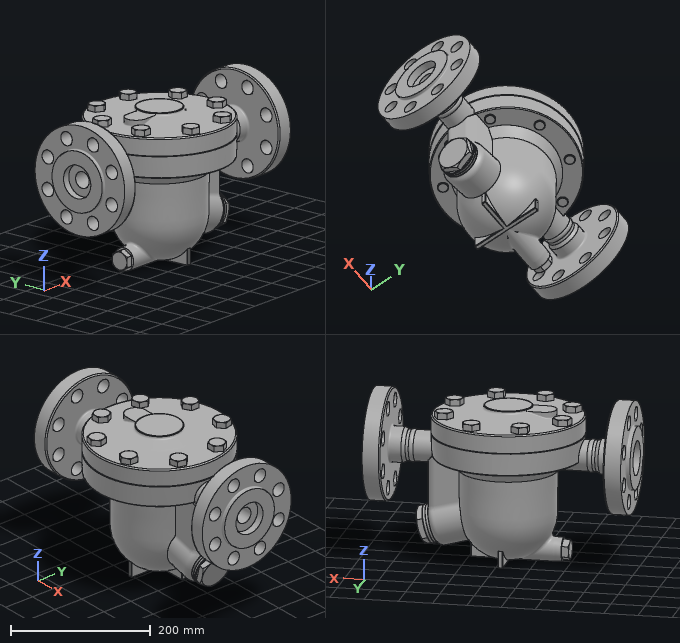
import cadquery as cq
import math


INLET_X = -187.5
OUTLET_X = 202.5
PIPE_R = 46 / 2
BORE_R = 25 / 2
SOCKET_R = 50 / 2
SOCKET_DEPTH = 12
RAISED_FACE_R = 92.1 / 2
RAISED_FACE_H = 6
RAISED_FACE_ROOT = 1.5
FLANGE_R = 165 / 2
FLANGE_T = 26
FLANGE_CHAMFER = 2
FLANGE_HOLE_COUNT = 8
FLANGE_HOLE_D = 21
FLANGE_HOLE_CIRCLE_R = 127 / 2
HUB_R = 52 / 2
HUB_ROOT = 3
HUB_END = 51
HUB_TAPER_END = 56.5
WELD_START = 61
WELD_END = 68
WELD_H = 1.2

COVER_R = 222 / 2
COVER_TOP_Z = 54.5
COVER_CHAMFER = 2
JOINT_Z = 27
JOINT_GAP = 0.8
JOINT_DEPTH = 1
BODY_FLANGE_BOTTOM_Z = -6.5
BODY_FLANGE_RIM_RX = 109.2
BODY_FLANGE_CHAMFER = 1.5
NECK_TOP_R = 80.5
NECK_BOTTOM_Z = -26.5
BODY_TOP_R = 71.5
BASE_Z = -160
DOME_R = 71
DOME_CENTRE_Z = BASE_Z + DOME_R
DOME_TOP_Z = -84

CROWN_TOP_Z = 68.5
CROWN_R = 70 / 2
CROWN_CHAMFER = 1
CROWN_ROOT_R = 38.2
CROWN_ROOT_Z = 62.7
HOLLOW = 0.3
CONE_FOOT_R = 56
CONE_FOOT_Z = 57
FLARE_R = 68
PAD_TOP_Z = 65
PAD_W = 34.5
PAD_END_X = -70.5
PAD_FILLET = 2

BOLT_COUNT = 8
BOLT_FLATS = 24
BOLT_HEAD_H = 9.5
BOLT_D = 16
BOLT_CIRCLE_R = 93.5
BOLT_TIP_Z = BODY_FLANGE_BOTTOM_Z - 2
BOLT_TIP_CHAMFER = 1

CHANNEL_END_X = 114.5
CHANNEL_W = 50
CHANNEL_CORNER_R = 13
CHANNEL_BOTTOM_Z = -98
CHANNEL_TOP_Z = BODY_FLANGE_BOTTOM_Z + 3
CHANNEL_CHAMFER_X = 12
CHANNEL_CHAMFER_Z = 14
CHANNEL_FILLET = 10

STRAINER_TILT = 15
STRAINER_TIP = (126.7, -118.1)
STRAINER_R = 70 / 2
STRAINER_LENGTH = 100
STRAINER_ROUND_START = 29
STRAINER_ROUND_END = 21
STRAINER_ROUND_R = 10
STRAINER_RIM_R = 31
STRAINER_FACE = 19
PLUG_COLLAR_START = 15
PLUG_COLLAR_R = 58 / 2
PLUG_COLLAR_CHAMFER = 1
PLUG_NECK_R = 28
PLUG_HEX_H = 10
PLUG_FLATS = 50
PLUG_FACE_D = 49.5

DRAIN_R = 36 / 2
DRAIN_Z = BASE_Z + DRAIN_R
DRAIN_END_X = -80.5
DRAIN_END_R = 17.4
DRAIN_TAPER_L = 11.5
DRAIN_FILLET = 4
DRAIN_FILLET_END_X = -15
DRAIN_FLATS = 27
DRAIN_HEX_H = 10.5
RIB_REACH = 54.5
RIB_T = 7
RIB_TOP_Z = -120
RIB_CHAMFER = 1

HEX_CHAMFER_ANGLE = 30
OVERLAP = 1
TOUCH = 1e-4


def touches(shape, point):
    """True when the point lies on a face of the shape."""
    vertex = cq.Vertex.makeVertex(*point.toTuple())
    return any(face.distance(vertex) < TOUCH for face in shape.faces().vals())


def any_edge(edge):
    """Accept every seam edge."""
    return True


def fuse_with_fillet(base, tool, radius, wanted):
    """Join two shapes and fillet the wanted edges of the seam where their surfaces meet."""
    joined = base.union(tool)
    seam = []
    for edge in joined.edges().vals():
        samples = [edge.positionAt(t) for t in (0.25, 0.5, 0.75)]
        on_both = all(touches(base, p) and touches(tool, p) for p in samples)
        if on_both and wanted(edge):
            seam.append(edge)
    return joined.newObject(seam).fillet(radius)


def hex_head(flats, height, face_d):
    """Hexagonal head standing on Z = 0, corners on X, with chamfered top corners."""
    corner_r = flats / math.sqrt(3)
    drop = (corner_r - face_d / 2) * math.tan(math.radians(HEX_CHAMFER_ANGLE))
    prism = cq.Workplane("XY").polygon(6, 2 * corner_r).extrude(height)
    envelope = (
        cq.Workplane("XZ")
        .polyline([(0, 0), (corner_r, 0), (corner_r, height - drop), (face_d / 2, height), (0, height)])
        .close()
        .revolve(360, (0, 0, 0), (0, 1, 0))
    )
    return prism.intersect(envelope)


def pipe_end():
    """Flange, hub and pipe reaching into the body, with the raised face at X = 0 and the pipe along +X."""
    flange_back = RAISED_FACE_H + FLANGE_T
    pipe_length = -INLET_X + OVERLAP
    root_sag = RAISED_FACE_ROOT * (1 - math.sqrt(0.5))
    hub_sag = HUB_ROOT * (1 - math.sqrt(0.5))
    profile = (
        cq.Workplane("XY")
        .lineTo(0, RAISED_FACE_R)
        .lineTo(RAISED_FACE_H - RAISED_FACE_ROOT, RAISED_FACE_R)
        .threePointArc(
            (RAISED_FACE_H - root_sag, RAISED_FACE_R + root_sag),
            (RAISED_FACE_H, RAISED_FACE_R + RAISED_FACE_ROOT),
        )
        .lineTo(RAISED_FACE_H, FLANGE_R)
        .lineTo(flange_back - FLANGE_CHAMFER, FLANGE_R)
        .lineTo(flange_back, FLANGE_R - FLANGE_CHAMFER)
        .lineTo(flange_back, HUB_R + HUB_ROOT)
        .threePointArc((flange_back + hub_sag, HUB_R + hub_sag), (flange_back + HUB_ROOT, HUB_R))
        .lineTo(HUB_END, HUB_R)
        .lineTo(HUB_TAPER_END, PIPE_R)
        .lineTo(WELD_START, PIPE_R)
        .threePointArc(((WELD_START + WELD_END) / 2, PIPE_R + WELD_H), (WELD_END, PIPE_R))
        .lineTo(pipe_length, PIPE_R)
        .lineTo(pipe_length, 0)
        .close()
    )
    holes = (
        cq.Workplane("YZ", origin=(RAISED_FACE_H, 0, 0))
        .polarArray(FLANGE_HOLE_CIRCLE_R, 180 / FLANGE_HOLE_COUNT, 360, FLANGE_HOLE_COUNT)
        .circle(FLANGE_HOLE_D / 2)
        .extrude(FLANGE_T)
    )
    return profile.revolve(360, (0, 0, 0), (1, 0, 0)).cut(holes)


def pipe_bore(face_x):
    """Socket and bore of one pipe end, reaching from the raised face to the body wall."""
    depth = abs(face_x) - BODY_TOP_R
    direction = -math.copysign(1, face_x)
    start = cq.Workplane("YZ", origin=(face_x, 0, 0))
    bore = start.circle(BORE_R).extrude(direction * depth)
    return start.circle(SOCKET_R).extrude(direction * SOCKET_DEPTH).union(bore)


def body_and_cover():
    """Revolved shape of the domed body, the bolted joint and the cover with its crown."""
    dome_top_r = math.sqrt(DOME_R**2 - (DOME_TOP_Z - DOME_CENTRE_Z) ** 2)
    dome_mid = DOME_R * math.sqrt(0.5)
    crown_edge_z = CROWN_TOP_Z - CROWN_CHAMFER
    crown_root_mid = (
        CROWN_R + HOLLOW * (CROWN_ROOT_R - CROWN_R),
        CROWN_ROOT_Z + HOLLOW * (crown_edge_z - CROWN_ROOT_Z),
    )
    flare_mid = ((CONE_FOOT_R + FLARE_R) / 2, COVER_TOP_Z + HOLLOW * (CONE_FOOT_Z - COVER_TOP_Z))
    return (
        cq.Workplane("XZ")
        .moveTo(0, BASE_Z)
        .threePointArc((dome_mid, DOME_CENTRE_Z - dome_mid), (dome_top_r, DOME_TOP_Z))
        .lineTo(BODY_TOP_R, NECK_BOTTOM_Z)
        .lineTo(NECK_TOP_R, BODY_FLANGE_BOTTOM_Z)
        .lineTo(NECK_TOP_R, JOINT_Z - JOINT_GAP / 2)
        .lineTo(COVER_R - JOINT_DEPTH, JOINT_Z - JOINT_GAP / 2)
        .lineTo(COVER_R - JOINT_DEPTH, JOINT_Z + JOINT_GAP / 2)
        .lineTo(COVER_R, JOINT_Z + JOINT_GAP / 2)
        .lineTo(COVER_R, COVER_TOP_Z - COVER_CHAMFER)
        .lineTo(COVER_R - COVER_CHAMFER, COVER_TOP_Z)
        .lineTo(FLARE_R, COVER_TOP_Z)
        .threePointArc(flare_mid, (CONE_FOOT_R, CONE_FOOT_Z))
        .lineTo(CROWN_ROOT_R, CROWN_ROOT_Z)
        .threePointArc(crown_root_mid, (CROWN_R, crown_edge_z))
        .lineTo(CROWN_R - CROWN_CHAMFER, CROWN_TOP_Z)
        .lineTo(0, CROWN_TOP_Z)
        .close()
        .revolve(360, (0, 0, 0), (0, 1, 0))
    )


def oval_ring(top_z, top_radii, bottom_z, bottom_radii):
    """Solid lofted between two horizontal ellipses given by their X and Y radii."""
    return (
        cq.Workplane("XY", origin=(0, 0, top_z))
        .ellipse(*top_radii)
        .workplane(offset=bottom_z - top_z)
        .ellipse(*bottom_radii)
        .loft(ruled=True)
    )


def body_flange():
    """Flange under the joint, round at the joint and slightly oval at its chamfered lower rim."""
    joint_face_z = JOINT_Z - JOINT_GAP / 2
    rim_z = BODY_FLANGE_BOTTOM_Z + BODY_FLANGE_CHAMFER
    joint_radii = (COVER_R, COVER_R)
    rim_radii = (BODY_FLANGE_RIM_RX, COVER_R)
    bottom_radii = tuple(radius - BODY_FLANGE_CHAMFER for radius in rim_radii)
    upper = oval_ring(joint_face_z, joint_radii, rim_z, rim_radii)
    return upper.union(oval_ring(rim_z, rim_radii, BODY_FLANGE_BOTTOM_Z, bottom_radii))


def cover_pad():
    """Round-ended pad running from the crown towards the inlet."""
    round_x = PAD_END_X + PAD_W / 2
    base = cq.Workplane("XY", origin=(0, 0, COVER_TOP_Z - OVERLAP))
    height = PAD_TOP_Z - COVER_TOP_Z + OVERLAP
    straight = base.center(round_x / 2, 0).rect(-round_x, PAD_W).extrude(height)
    return base.center(round_x, 0).circle(PAD_W / 2).extrude(height).union(straight)


def cover_bolts():
    """Hexagon heads on the cover and the screw tips showing below the body flange."""
    head = hex_head(BOLT_FLATS, BOLT_HEAD_H + OVERLAP, BOLT_FLATS)
    tip = (
        cq.Workplane("XY", origin=(0, 0, BOLT_TIP_Z))
        .circle(BOLT_D / 2)
        .extrude(BODY_FLANGE_BOTTOM_Z - BOLT_TIP_Z + OVERLAP)
        .faces("<Z")
        .chamfer(BOLT_TIP_CHAMFER)
    )
    pitch = 360 / BOLT_COUNT
    head = head.rotate((0, 0, 0), (0, 0, 1), -pitch / 2)
    bolt = head.translate((0, 0, COVER_TOP_Z - OVERLAP)).union(tip)
    bolt = bolt.translate((BOLT_CIRCLE_R, 0, 0)).rotate((0, 0, 0), (0, 0, 1), pitch / 2)
    return [bolt.rotate((0, 0, 0), (0, 0, 1), i * pitch) for i in range(BOLT_COUNT)]


def outlet_channel():
    """Upright channel with rounded corners between the strainer boss and the body flange."""
    channel = (
        cq.Workplane("XY", origin=(0, 0, CHANNEL_BOTTOM_Z))
        .center(CHANNEL_END_X / 2, 0)
        .rect(CHANNEL_END_X, CHANNEL_W)
        .extrude(CHANNEL_TOP_Z - CHANNEL_BOTTOM_Z)
        .edges("|Z and >X")
        .fillet(CHANNEL_CORNER_R)
    )
    corner = (
        cq.Workplane("XZ", origin=(0, CHANNEL_W / 2, 0))
        .moveTo(CHANNEL_END_X, CHANNEL_TOP_Z)
        .lineTo(CHANNEL_END_X - CHANNEL_CHAMFER_X, CHANNEL_TOP_Z)
        .lineTo(CHANNEL_END_X, CHANNEL_TOP_Z - CHANNEL_CHAMFER_Z)
        .close()
        .extrude(CHANNEL_W)
    )
    return channel.cut(corner)


def tilt_strainer(shape):
    """Lay a shape built along Z, plug face at Z = 0, onto the inclined strainer axis."""
    tip_x, tip_z = STRAINER_TIP
    return shape.rotate((0, 0, 0), (0, 1, 0), 90 + STRAINER_TILT).translate((tip_x, 0, tip_z))


def strainer_boss():
    """Cylindrical boss with a rounded end."""
    round_mid = (STRAINER_ROUND_START + STRAINER_ROUND_END) / 2
    mid_drop = STRAINER_ROUND_R - math.sqrt(STRAINER_ROUND_R**2 - (STRAINER_ROUND_START - round_mid) ** 2)
    profile = (
        cq.Workplane("XZ")
        .moveTo(0, -STRAINER_LENGTH)
        .lineTo(STRAINER_R, -STRAINER_LENGTH)
        .lineTo(STRAINER_R, -STRAINER_ROUND_START)
        .threePointArc((STRAINER_R - mid_drop, -round_mid), (STRAINER_RIM_R, -STRAINER_ROUND_END))
        .lineTo(PLUG_COLLAR_R, -STRAINER_FACE)
        .lineTo(0, -STRAINER_FACE)
        .close()
    )
    return tilt_strainer(profile.revolve(360, (0, 0, 0), (0, 1, 0)))


def strainer_plug():
    """Neck, collar and hexagon of the plug closing the strainer boss."""
    neck_start = STRAINER_FACE + OVERLAP
    neck = (
        cq.Workplane("XY", origin=(0, 0, -neck_start))
        .circle(PLUG_NECK_R)
        .extrude(neck_start - PLUG_HEX_H)
    )
    collar = (
        cq.Workplane("XY", origin=(0, 0, -PLUG_COLLAR_START))
        .circle(PLUG_COLLAR_R)
        .extrude(PLUG_COLLAR_START - PLUG_HEX_H)
        .faces(">Z")
        .chamfer(PLUG_COLLAR_CHAMFER)
    )
    head = hex_head(PLUG_FLATS, PLUG_HEX_H, PLUG_FACE_D).translate((0, 0, -PLUG_HEX_H))
    return tilt_strainer(neck.union(collar).union(head))


def strainer_housing():
    """Outlet channel and strainer boss, with the straight seams between them filleted."""

    def runs_along_boss(edge):
        rise = abs(edge.endPoint().z - edge.startPoint().z)
        is_level = rise < TOUCH
        is_upright = rise > edge.Length() - TOUCH
        outside_body = edge.BoundingBox().xmax > BODY_TOP_R
        return edge.geomType() == "LINE" and outside_body and not is_level and not is_upright

    return fuse_with_fillet(outlet_channel(), strainer_boss(), CHANNEL_FILLET, runs_along_boss)


def drain_boss():
    """Horizontal boss with a slightly tapered end, pointing to the inlet and tangent to the base."""
    return (
        cq.Workplane("XZ", origin=(0, 0, DRAIN_Z))
        .moveTo(DRAIN_END_X, 0)
        .lineTo(DRAIN_END_X, DRAIN_END_R)
        .lineTo(DRAIN_END_X + DRAIN_TAPER_L, DRAIN_R)
        .lineTo(0, DRAIN_R)
        .lineTo(0, 0)
        .close()
        .revolve(360, (0, 0, 0), (1, 0, 0))
    )


def filleted_drain(body):
    """Drain boss blended with the part of the dome on its side of the fillet end."""
    length = DRAIN_FILLET_END_X - DRAIN_END_X
    side = (
        cq.Workplane("XY", origin=((DRAIN_END_X + DRAIN_FILLET_END_X) / 2, 0, BASE_Z))
        .rect(length, 2 * DOME_R)
        .extrude(DOME_TOP_Z - BASE_Z)
    )

    def crosses_dome(edge):
        return edge.BoundingBox().xmin < DRAIN_FILLET_END_X - TOUCH

    blend = fuse_with_fillet(body.intersect(side), drain_boss().intersect(side), DRAIN_FILLET, crosses_dome)
    return blend.union(drain_boss())


def drain_plug():
    """Hexagon plug in the drain boss, with corners at top and bottom."""
    head = hex_head(DRAIN_FLATS, DRAIN_HEX_H + OVERLAP, DRAIN_FLATS)
    return head.rotate((0, 0, 0), (0, 1, 0), -90).translate((DRAIN_END_X + OVERLAP, 0, DRAIN_Z))


def base_ribs():
    """Two upright plates under the dome: one along Y on both sides and one towards the outlet."""
    height = RIB_TOP_Z - BASE_Z
    base = cq.Workplane("XY", origin=(0, 0, BASE_Z))
    across = base.rect(RIB_T, 2 * RIB_REACH).extrude(height).edges("|Z or <Z").chamfer(RIB_CHAMFER)
    outward = base.center(RIB_REACH / 2, 0).rect(RIB_REACH, RIB_T).extrude(height)
    outward = outward.edges(">X or <Z").chamfer(RIB_CHAMFER)
    return across.union(outward)


inlet = pipe_end().translate((INLET_X, 0, 0))
outlet = pipe_end().rotate((0, 0, 0), (0, 0, 1), 180).translate((OUTLET_X, 0, 0))

result = body_and_cover()
drain = filleted_drain(result)
result = fuse_with_fillet(result, cover_pad(), PAD_FILLET, any_edge)
result = result.union(body_flange()).union(drain).union(strainer_housing())
result = result.union(inlet).union(outlet)
result = result.union(strainer_plug()).union(drain_plug()).union(base_ribs())
for bolt in cover_bolts():
    result = result.union(bolt)
result = result.cut(pipe_bore(INLET_X)).cut(pipe_bore(OUTLET_X))